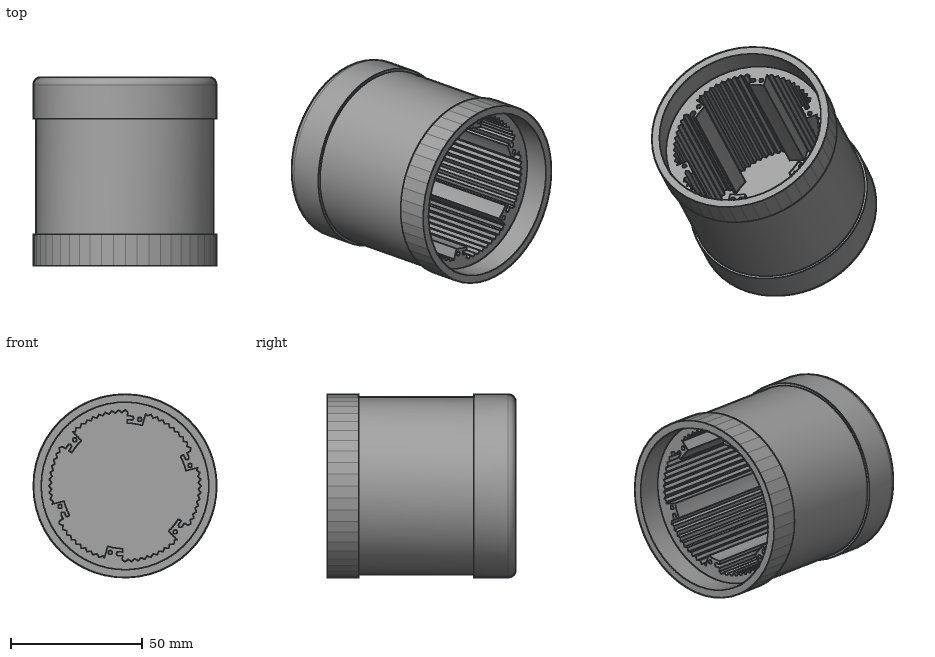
import cadquery as cq
import math

total_length = 72.0
collar_diameter = 70.0
body_diameter = 68.0
front_collar_length = 12.0
front_collar_facets = 48
rear_cap_length = 16.0
rear_cap_fillet = 3.0

mouth_wall = 3.0
mouth_depth = 10.0
floor_thickness = mouth_wall

groove_count = 72
groove_root_radius = 29.0
groove_depth = 1.0

rail_count = 6
rail_inner_radius = 24.0
rail_outer_radius = 30.25
rail_center_angle = 9.0
rail_half_angle = 7.0
channel_offset_angle = rail_half_angle / 2
channel_pitch_radius = 26.0
channel_diameter = 1.5
slot_overrun_angle = 1.0

front_y = -total_length / 2
rear_y = total_length / 2
bore_start = front_y + mouth_depth
bore_length = total_length - mouth_depth - floor_thickness


def section_plane(y):
    """Sketch plane across the axis: local x is -X, local y is Z, extruding toward +Y."""
    return cq.Workplane(cq.Plane(origin=(0, y, 0), xDir=(-1, 0, 0), normal=(0, 1, 0)))


def polar(radius, angle):
    """Section point at an angle in degrees from +Z, turning toward +X."""
    turn = math.radians(angle)
    return (-radius * math.sin(turn), radius * math.cos(turn))


def outer_shell():
    body = section_plane(front_y).circle(body_diameter / 2)
    body = body.extrude(total_length - rear_cap_length)
    collar = section_plane(front_y).polygon(front_collar_facets, collar_diameter)
    collar = collar.extrude(front_collar_length)
    cap = section_plane(rear_y - rear_cap_length).circle(collar_diameter / 2)
    cap = cap.extrude(rear_cap_length).faces(">Y").edges().fillet(rear_cap_fillet)
    return body.union(collar).union(cap)


def mouth():
    return section_plane(front_y).circle(collar_diameter / 2 - mouth_wall).extrude(mouth_depth)


def grooved_bore():
    half_pitch = 180 / groove_count
    crest_radius = groove_root_radius - groove_depth
    outline = []
    for index in range(groove_count):
        root_angle = 2 * half_pitch * index
        outline.append(polar(groove_root_radius, root_angle))
        outline.append(polar(crest_radius, root_angle + half_pitch))
    return section_plane(bore_start).polyline(outline).close().extrude(bore_length)


def rail(center_angle):
    """Rail with a round channel near one side and an open slot in the other side."""
    low = center_angle - rail_half_angle
    high = center_angle + rail_half_angle
    block = (
        section_plane(bore_start)
        .moveTo(*polar(rail_inner_radius, low))
        .threePointArc(polar(rail_inner_radius, center_angle), polar(rail_inner_radius, high))
        .lineTo(*polar(rail_outer_radius, high))
        .threePointArc(polar(rail_outer_radius, center_angle), polar(rail_outer_radius, low))
        .close()
        .extrude(bore_length)
    )
    hole_center = polar(channel_pitch_radius, center_angle + channel_offset_angle)
    slot_end = polar(channel_pitch_radius, center_angle - channel_offset_angle)
    holes = section_plane(bore_start).pushPoints([hole_center, slot_end])
    holes = holes.circle(channel_diameter / 2).extrude(bore_length)

    slot_inner = channel_pitch_radius - channel_diameter / 2
    slot_outer = channel_pitch_radius + channel_diameter / 2
    inside = center_angle - channel_offset_angle
    outside = low - slot_overrun_angle
    middle = (inside + outside) / 2
    slot = (
        section_plane(bore_start)
        .moveTo(*polar(slot_inner, inside))
        .threePointArc(polar(slot_inner, middle), polar(slot_inner, outside))
        .lineTo(*polar(slot_outer, outside))
        .threePointArc(polar(slot_outer, middle), polar(slot_outer, inside))
        .close()
        .extrude(bore_length)
    )
    return block.cut(holes).cut(slot)


cavity = grooved_bore()
for index in range(rail_count):
    cavity = cavity.cut(rail(rail_center_angle + index * 360 / rail_count))

result = outer_shell().cut(mouth()).cut(cavity)